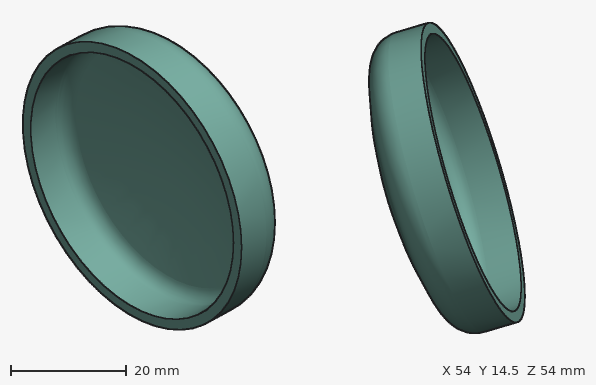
import cadquery as cq
import math

outer_radius = 27.0
cap_depth = 14.5
skirt_depth = 6.0
shoulder_radius = 5.0
wall = 2.0

shoulder_center = outer_radius - shoulder_radius

crown_rise = cap_depth - skirt_depth
dome_radius = (shoulder_center**2 + crown_rise**2 - shoulder_radius**2) / (
    2 * (crown_rise - shoulder_radius)
)
dome_center_y = cap_depth - dome_radius
tangent_angle = math.asin(shoulder_center / (dome_radius - shoulder_radius))


def arc_point(center_x, center_y, radius, angle):
    """Point on an arc, with the angle measured from +Y toward +X."""
    return (center_x + radius * math.sin(angle), center_y + radius * math.cos(angle))


def domed_body(inset):
    """Solid of revolution about Y, bounded by the outer surface moved inward by inset."""
    shoulder = shoulder_radius - inset
    dome = dome_radius - inset
    shoulder_mid = arc_point(
        shoulder_center, skirt_depth, shoulder, (math.pi / 2 + tangent_angle) / 2
    )
    shoulder_end = arc_point(shoulder_center, skirt_depth, shoulder, tangent_angle)
    dome_mid = arc_point(0, dome_center_y, dome, tangent_angle / 2)
    return (
        cq.Workplane("XY")
        .lineTo(outer_radius - inset, 0)
        .lineTo(outer_radius - inset, skirt_depth)
        .threePointArc(shoulder_mid, shoulder_end)
        .threePointArc(dome_mid, (0, cap_depth - inset))
        .close()
        .revolve(360, (0, 0, 0), (0, 1, 0))
    )


result = domed_body(0).cut(domed_body(wall))